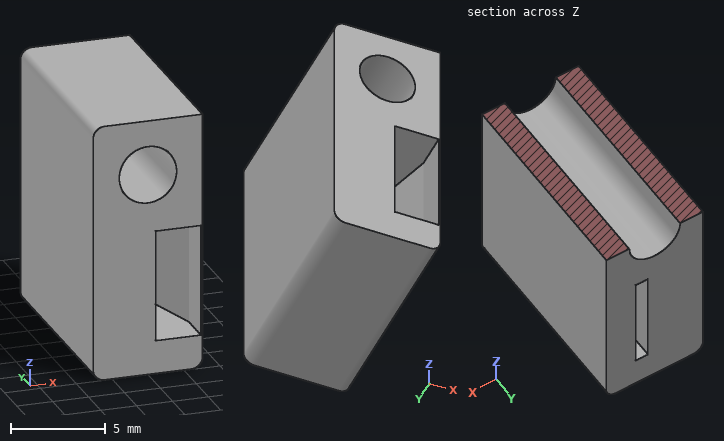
import cadquery as cq

width = 6.1
depth = 12.0
height = 14.4
corner_radius = 0.63

hole_diameter = 3.2
hole_center_x = width / 2
hole_center_z = height - hole_center_x

channel_left = 3.48
outer_wall = 0.1
channel_right = width - outer_wall
channel_bottom = 1.87
channel_height = 6.22
narrow_right = 4.26
straight_depth = 2.0
slope_end = 8.0


def make_block():
    """Block with one corner at the origin; the +X top edge stays sharp."""
    block = cq.Workplane("XY").box(width, depth, height, centered=False)
    block = block.edges("|Y and <X").fillet(corner_radius)
    return block.edges("|Y and >X and <Z").fillet(corner_radius)


def make_hole():
    return (
        cq.Workplane("XZ")
        .center(hole_center_x, hole_center_z)
        .circle(hole_diameter / 2)
        .extrude(-depth)
    )


def make_channel():
    """Channel that is wide at the -Y mouth and narrows toward +Y."""
    plan = [
        (channel_left, 0),
        (channel_right, 0),
        (channel_right, straight_depth),
        (narrow_right, slope_end),
        (narrow_right, depth),
        (channel_left, depth),
    ]
    return (
        cq.Workplane("XY")
        .workplane(offset=channel_bottom)
        .polyline(plan)
        .close()
        .extrude(channel_height)
    )


result = make_block().cut(make_hole()).cut(make_channel())